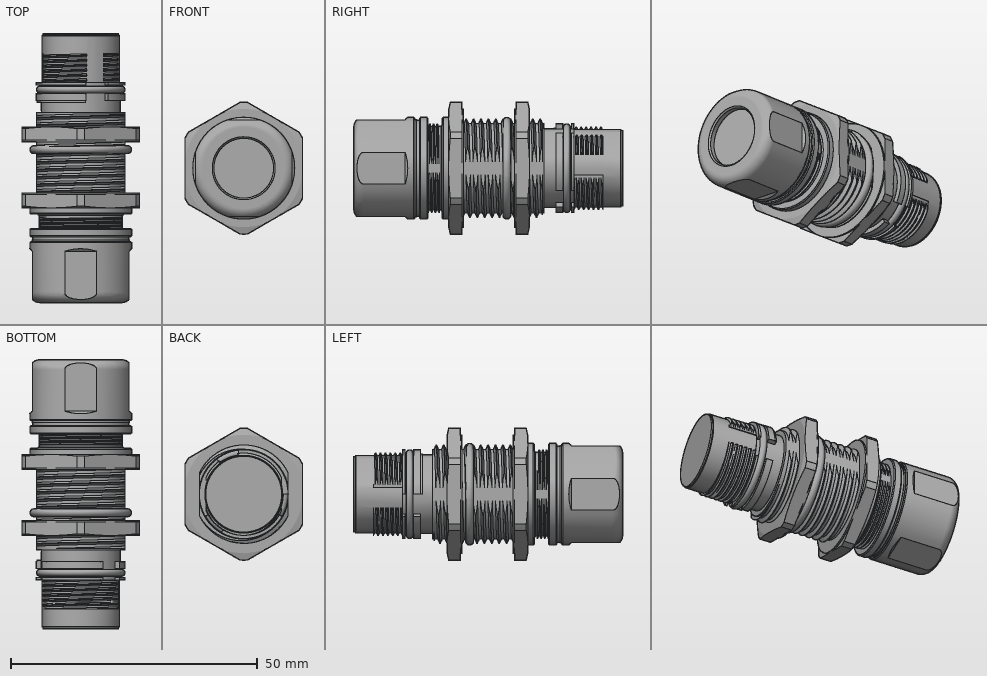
import cadquery as cq
import math

LENGTH = 54.55

CAP_DIAMETER = 20.7
CAP_RADIUS = CAP_DIAMETER / 2
CAP_END = 12.4
CAP_FILLET = 2.0
CAP_FLAT_OFFSET = 9.8
CAP_FLAT_END = 10.4
CAP_FLAT_RUNOUT = 0.55
BORE_RADIUS = 6.05
BORE_DEPTH = 1.35
BORE_CHAMFER = 0.35

EDGE_CHAMFER = 0.2
CAP_NECK_RADIUS = 9.9
CAP_NECK_STEP = 0.1
CAP_NECK_STEP_START = 12.7
RING_START = 13.35
RING_END = 15.05
COLLAR_START = 17.95
COLLAR_ROOT_CHAMFER = 0.3

NUT_ACROSS_FLATS = 23.9
NUT_ACROSS_CORNERS = 26.8
NUT_CORNER_RADIUS = NUT_ACROSS_CORNERS / 2
NUT_FACE_RADIUS = 12.0
NUT_THICKNESS = 3.0
NUT_FACE_DEPTH = 0.35
FRONT_NUT_START = 19.25
REAR_NUT_START = 32.6

PITCH_LENGTH = 6.0
FRONT_PITCH = PITCH_LENGTH / 8
MAIN_PITCH = PITCH_LENGTH / 4
REAR_PITCH = PITCH_LENGTH / 6

FRONT_CORE_RADIUS = 8.5
FRONT_CREST_RADIUS = 9.0
FRONT_FLAT_OFFSET = 8.45
FRONT_TOP_CREST = 15.45
FRONT_THREAD_END = 17.35
MAIN_CORE_RADIUS = 9.1
MAIN_CREST_RADIUS = 10.0
MAIN_FLAT_OFFSET = 9.0
MAIN_TOP_CREST = 22.8
MAIN_START = FRONT_NUT_START + NUT_THICKNESS
MAIN_THREAD_END = 38.25
MAIN_END = 38.55
REAR_CREST_RADIUS = 8.35
REAR_FLAT_OFFSET = 7.65
REAR_TOP_CREST = 45.1
REAR_START = 44.6
REAR_END = 50.55
CREST_WIDTH = 0.1
ROOT_SHARE = 0.6
ROOT_OVERLAP = 0.15

PLUG_RADIUS = 8.0
TAIL_DIAMETER = 15.75
TAIL_RADIUS = TAIL_DIAMETER / 2
TAIL_STEP_RADIUS = 7.7
TAIL_STEP_START = 54.2
TAIL_CHAMFER = 0.1
BAYONET_DIAMETER = 18.05
BAYONET_RADIUS = BAYONET_DIAMETER / 2
FLANGE_START = 44.15
BAYONET_START = 40.95
BAYONET_END = 42.4
LIP_START = 40.65
LIP_RADIUS = 8.2
LIP_OFFSET = 0.7

THREAD_GAPS = ((-10.0, 20.7), (54.0, 81.6), (170.0, 200.7))
BAYONET_GAPS = ((52.5, 83.0), (180.0, 210.0), (300.0, 330.0))
LIP_SPAN = (83.0, 180.0)
FLATTED_SPANS = ((3.0, 177.0), (183.0, 357.0))

MAIN_SEAL = (31.05, 0.8, 10.3)
BAYONET_SEAL = (43.2, 0.7, 9.0)

SEAL_COVER = 0.55
MAIN_THREAD_SPANS = (
    (MAIN_START, MAIN_SEAL[0] - SEAL_COVER),
    (MAIN_SEAL[0] + SEAL_COVER, REAR_NUT_START),
    (REAR_NUT_START + NUT_THICKNESS, MAIN_THREAD_END),
)


def disc(radius, start, end, center_x=0.0):
    """Solid cylinder on the Y axis between two stations."""
    plane = cq.Workplane("XZ", origin=(center_x, start, 0))
    return plane.circle(radius).extrude(start - end)


def revolved(points):
    """Solid turned about Y from an outline of (radius, station) points."""
    return cq.Workplane("XY").polyline(points).close().revolve(360, (0, 0), (0, 1))


def sector(span, start, end):
    """Wedge on the Y axis that reaches past every turned surface."""
    first, last = (math.radians(angle) for angle in span)
    points = [(0, 0)]
    for angle in (first, (first + last) / 2, last):
        points.append((LENGTH * math.cos(angle), LENGTH * math.sin(angle)))
    return cq.Workplane("XZ", origin=(0, start, 0)).polyline(points).close().extrude(start - end)


def cut_sectors(body, spans, start, end):
    for span in spans:
        body = body.cut(sector(span, start, end))
    return body


def ridge(core, crest, pitch, top_crest, span):
    """Right-handed helical tooth over a span of angles, phased to crest at +Z on a given station."""
    first, last = span
    inner = core - ROOT_OVERLAP
    half_crest = CREST_WIDTH / 2
    half_core = ROOT_SHARE * pitch / 2
    half_inner = half_core + (half_core - half_crest) * ROOT_OVERLAP / (crest - core)
    path = cq.Workplane(cq.Wire.makeHelix(pitch, pitch * (last - first) / 360, core))
    tooth = (
        cq.Workplane("XZ")
        .polyline([(inner, -half_inner), (crest, -half_crest), (crest, half_crest), (inner, half_inner)])
        .close()
        .sweep(path, isFrenet=True)
    )
    station = top_crest + pitch * (90 - last) / 360
    return (
        tooth.rotate((0, 0, 0), (1, 0, 0), -90)
        .rotate((0, 0, 0), (0, 1, 0), -last)
        .translate((0, station, 0))
    )


def core_slab(core, flat, start, end):
    """Thread core with its two X sides cut flat."""
    length = end - start
    slab = cq.Workplane("XY").box(2 * flat, length, 2 * core).translate((0, start + length / 2, 0))
    return disc(core, start, end).intersect(slab)


def add_teeth(body, spans, core, crest, flat, pitch, top_crest, start, end):
    """Fuse helical teeth to a core, trimmed to the flats and to the end stations."""
    envelope = core_slab(crest + 0.55, flat, start, end)
    first_turn = math.floor((start - top_crest) / pitch) - 1
    last_turn = math.ceil((end - top_crest) / pitch) + 1
    teeth = []
    for span in spans:
        tooth = ridge(core, crest, pitch, top_crest, span)
        for turn in range(first_turn, last_turn + 1):
            copy = tooth.translate((0, turn * pitch, 0))
            teeth += copy.intersect(envelope, clean=False).solids().vals()
    return cq.Workplane(body.val().fuse(*teeth))


def thread(core, crest, flat, pitch, top_crest, start, end):
    """Thread on a flatted core; its teeth end below the flats, inside the core."""
    body = core_slab(core, flat, start, end)
    return add_teeth(body, FLATTED_SPANS, core, crest, flat, pitch, top_crest, start, end)


def nut(start, chamfer_first):
    """Hexagon nut with a conical chamfer on one face and a round step on the other."""
    end = start + NUT_THICKNESS
    hexagon = (
        cq.Workplane("XZ", origin=(0, start, 0))
        .polygon(6, NUT_ACROSS_FLATS / math.cos(math.radians(30)))
        .extrude(-NUT_THICKNESS)
        .rotate((0, 0, 0), (0, 1, 0), 30)
    )
    envelope = revolved([
        (0, start),
        (NUT_FACE_RADIUS, start),
        (NUT_CORNER_RADIUS, start + NUT_FACE_DEPTH),
        (NUT_CORNER_RADIUS, end - NUT_FACE_DEPTH),
        (NUT_FACE_RADIUS, end - NUT_FACE_DEPTH),
        (NUT_FACE_RADIUS, end),
        (0, end),
    ])
    if not chamfer_first:
        envelope = envelope.mirror("XZ", (0, (start + end) / 2, 0))
    return hexagon.intersect(envelope)


def cap():
    body = disc(CAP_RADIUS, 0, CAP_END)
    body = body.faces("<Y").edges().fillet(CAP_FILLET)
    body = body.faces(">Y").edges().chamfer(EDGE_CHAMFER)
    runout_end = CAP_FLAT_END + CAP_FLAT_RUNOUT
    outside = CAP_RADIUS + 0.55
    flat_cutter = (
        cq.Workplane("XY")
        .polyline([(CAP_FLAT_OFFSET, 0), (CAP_FLAT_OFFSET, CAP_FLAT_END), (CAP_RADIUS, runout_end),
                   (outside, runout_end), (outside, 0)])
        .close()
        .extrude(CAP_RADIUS, both=True)
    )
    for quarter in range(4):
        body = body.cut(flat_cutter.rotate((0, 0, 0), (0, 1, 0), 90 * quarter))
    bore = revolved([
        (0, 0),
        (BORE_RADIUS + BORE_CHAMFER, 0),
        (BORE_RADIUS, BORE_CHAMFER),
        (BORE_RADIUS, BORE_DEPTH),
        (0, BORE_DEPTH),
    ])
    return body.cut(bore)


def cap_neck():
    """Stepped neck behind the cap and the ring that closes it."""
    neck = disc(CAP_NECK_RADIUS, CAP_END, CAP_NECK_STEP_START)
    neck = neck.union(disc(CAP_NECK_RADIUS - CAP_NECK_STEP, CAP_NECK_STEP_START, RING_START))
    ring = disc(CAP_RADIUS, RING_START, RING_END).faces("<Y or >Y").edges().chamfer(EDGE_CHAMFER)
    return neck.union(ring)


def collar():
    """Collar against the front nut, with a cone where the flatted core meets it."""
    body = disc(CAP_RADIUS, COLLAR_START, FRONT_NUT_START).faces("<Y").edges().chamfer(EDGE_CHAMFER)
    cone_start = COLLAR_START - COLLAR_ROOT_CHAMFER
    cone = revolved([
        (0, cone_start),
        (FRONT_CORE_RADIUS, cone_start),
        (FRONT_CORE_RADIUS + COLLAR_ROOT_CHAMFER, COLLAR_START),
        (0, COLLAR_START),
    ])
    core = core_slab(FRONT_CORE_RADIUS, FRONT_FLAT_OFFSET, FRONT_THREAD_END, cone_start)
    return body.union(cone).union(core)


def seal(station, tube_radius, outside_radius):
    """Round sealing ring."""
    ring_radius = outside_radius - tube_radius
    plane = cq.Plane((ring_radius, station, 0), (-1, 0, 0), (0, 0, 1))
    return cq.Workplane(plane).circle(tube_radius).revolve(360, (ring_radius, 0), (ring_radius, 1))


def front_thread():
    return thread(FRONT_CORE_RADIUS, FRONT_CREST_RADIUS, FRONT_FLAT_OFFSET, FRONT_PITCH, FRONT_TOP_CREST,
                  RING_END, FRONT_THREAD_END)


def main_thread(start, end):
    return thread(MAIN_CORE_RADIUS, MAIN_CREST_RADIUS, MAIN_FLAT_OFFSET, MAIN_PITCH, MAIN_TOP_CREST,
                  start, end)


def rear_thread():
    """Thread interrupted by gaps that stay at the tail radius."""
    body = core_slab(TAIL_RADIUS, REAR_FLAT_OFFSET, REAR_START, REAR_END)
    cylinder = disc(TAIL_RADIUS, REAR_START, REAR_END)
    for gap in THREAD_GAPS:
        body = body.union(cylinder.intersect(sector(gap, REAR_START, REAR_END)))
    spans = []
    for index, gap in enumerate(THREAD_GAPS):
        next_start = THREAD_GAPS[(index + 1) % len(THREAD_GAPS)][0]
        spans.append((gap[1], gap[1] + (next_start - gap[1]) % 360))
    return add_teeth(body, spans, TAIL_RADIUS, REAR_CREST_RADIUS, REAR_FLAT_OFFSET, REAR_PITCH,
                     REAR_TOP_CREST, REAR_START, REAR_END)


def bayonet():
    """Flange and locking collar, both interrupted, with an eccentric lip on the collar."""
    rim = disc(BAYONET_RADIUS, FLANGE_START, REAR_START)
    rim = rim.union(disc(BAYONET_RADIUS, BAYONET_START, BAYONET_END))
    rim = cut_sectors(rim, BAYONET_GAPS, BAYONET_START, REAR_START)
    lip = disc(LIP_RADIUS, LIP_START, BAYONET_START, -LIP_OFFSET)
    lip = lip.intersect(sector(LIP_SPAN, LIP_START, BAYONET_START))
    return rim.union(lip).union(disc(PLUG_RADIUS, MAIN_END, REAR_START))


def tail():
    body = disc(TAIL_RADIUS, REAR_END, TAIL_STEP_START)
    body = body.faces(">Y").edges().chamfer(TAIL_CHAMFER)
    return body.union(disc(TAIL_STEP_RADIUS, TAIL_STEP_START, LENGTH))


parts = [
    cap_neck(),
    front_thread(),
    collar(),
    nut(FRONT_NUT_START, True),
    disc(MAIN_FLAT_OFFSET, MAIN_START, MAIN_THREAD_END),
    nut(REAR_NUT_START, False),
    core_slab(MAIN_CORE_RADIUS, MAIN_FLAT_OFFSET, MAIN_THREAD_END, MAIN_END),
    bayonet(),
    rear_thread(),
    tail(),
]
parts += [main_thread(start, end) for start, end in MAIN_THREAD_SPANS]
parts += [seal(*MAIN_SEAL), seal(*BAYONET_SEAL)]

result = cap()
for piece in parts:
    result = result.union(piece)